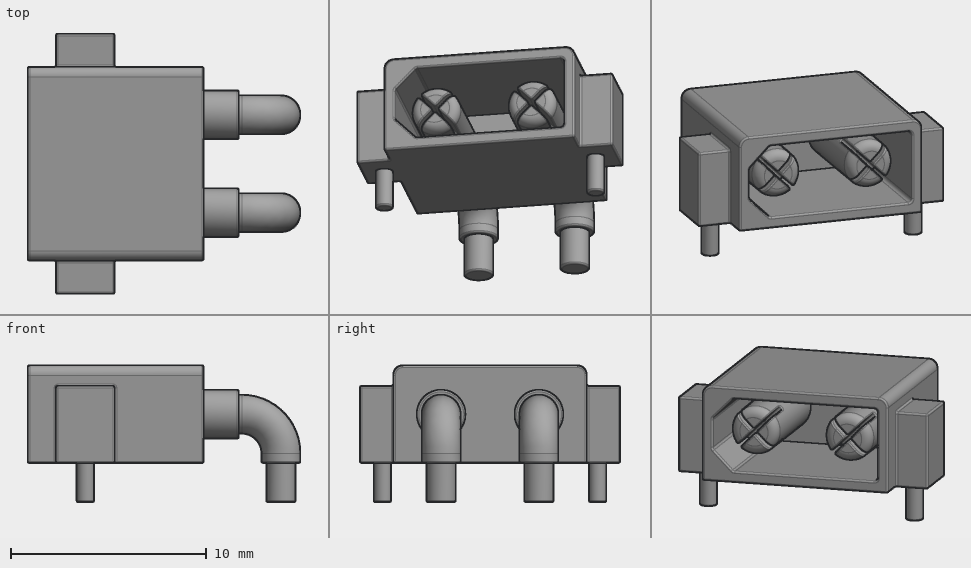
import cadquery as cq
housing_length = 9.0
housing_width = 9.9
housing_height = 5.0
crown_radius = 0.5
edge_radius = 0.1

cavity_width = 8.8
cavity_height = 3.8
cavity_depth = 7.0
key_chamfer = 1.1
cavity_corner_radius = 0.2

ear_length = 3.0
ear_height = 3.95
ear_center_x = 2.95
span_over_ears = 13.3
peg_diameter = 0.9
peg_spacing = 11.0

contact_spacing = 5.0
contact_height = housing_height / 2
plug_diameter = 2.5
plug_front_x = 1.0
plug_nose_radius = 0.5
slot_width = 0.2
slot_corner_radius = 0.1
slot_depth = 2.0
slot_edge_radius = 0.07
slot_angles = (45, 135)
collar_end_x = 10.8
elbow_diameter = 2.0
bend_start_x = 10.95
bend_radius = 2.0
tail_diameter = 1.5
board_depth = 2.0


def make_housing():
    block = cq.Workplane("XY").box(
        housing_length, housing_width, housing_height, centered=(False, True, False)
    )
    block = block.edges("|X and >Z").fillet(crown_radius)
    ears = (
        cq.Workplane("XY")
        .center(ear_center_x, 0)
        .rect(ear_length, span_over_ears)
        .extrude(ear_height)
    )
    body = block.union(ears)
    crown_lines = cq.selectors.BoxSelector(
        (edge_radius, -housing_width, ear_height + edge_radius),
        (housing_length - edge_radius, housing_width, housing_height + edge_radius),
    )
    return body.edges(cq.selectors.InverseSelector(crown_lines)).fillet(edge_radius)


def make_cavity():
    block = (
        cq.Workplane("XY")
        .box(cavity_depth, cavity_width, cavity_height, centered=(False, True, True))
        .translate((0, 0, contact_height))
    )
    block = block.edges("|X and >Y").chamfer(key_chamfer)
    return block.edges("|X").fillet(cavity_corner_radius)


def round_mouth(body):
    half_width = (cavity_width + edge_radius) / 2
    half_height = (cavity_height + edge_radius) / 2
    mouth_edges = cq.selectors.BoxSelector(
        (-edge_radius, -half_width, contact_height - half_height),
        (edge_radius, half_width, contact_height + half_height),
    )
    return body.edges(mouth_edges).fillet(edge_radius)


def make_slot(angle):
    half_width = slot_width / 2
    round_start = slot_depth - half_width
    slot = (
        cq.Workplane("XZ")
        .moveTo(0, -half_width)
        .lineTo(round_start, -half_width)
        .threePointArc((slot_depth, 0), (round_start, half_width))
        .lineTo(0, half_width)
        .close()
        .extrude(plug_diameter, both=True)
    )
    return slot.rotate((0, 0, 0), (1, 0, 0), angle).translate((plug_front_x, 0, 0))


def make_plug():
    plug = (
        cq.Workplane("YZ", origin=(plug_front_x, 0, 0))
        .circle(plug_diameter / 2)
        .extrude(collar_end_x - plug_front_x)
    )
    plug = plug.faces("<X").edges().fillet(plug_nose_radius)
    plug = plug.faces(">X").edges().fillet(edge_radius)
    for angle in slot_angles:
        plug = plug.cut(make_slot(angle))
    inner_corners = cq.selectors.BoxSelector(
        (plug_front_x, -slot_width, -slot_width),
        (plug_front_x + slot_depth, slot_width, slot_width),
    )
    plug = plug.edges(inner_corners).edges("|X").fillet(slot_corner_radius)
    return plug.faces("<X").edges("%LINE").fillet(slot_edge_radius)


def make_pin(diameter):
    pin = cq.Workplane("XY").circle(diameter / 2).extrude(-board_depth)
    return pin.faces("<Z").edges().fillet(edge_radius)


def make_elbow():
    tail_x = bend_start_x + bend_radius
    path = (
        cq.Workplane("XZ")
        .moveTo(collar_end_x, 0)
        .lineTo(bend_start_x, 0)
        .radiusArc((tail_x, -bend_radius), bend_radius)
        .lineTo(tail_x, -contact_height)
    )
    elbow = (
        cq.Workplane("YZ", origin=(collar_end_x, 0, 0))
        .circle(elbow_diameter / 2)
        .sweep(path)
    )
    elbow = elbow.faces("<Z").edges().fillet(edge_radius)
    tail = make_pin(tail_diameter).translate((tail_x, 0, -contact_height))
    return elbow.union(tail)


contact = make_plug().union(make_elbow())
peg = make_pin(peg_diameter)

result = round_mouth(make_housing().cut(make_cavity()))
for side in (-1, 1):
    result = result.union(peg.translate((ear_center_x, side * peg_spacing / 2, 0)))
    result = result.union(contact.translate((0, side * contact_spacing / 2, contact_height)))